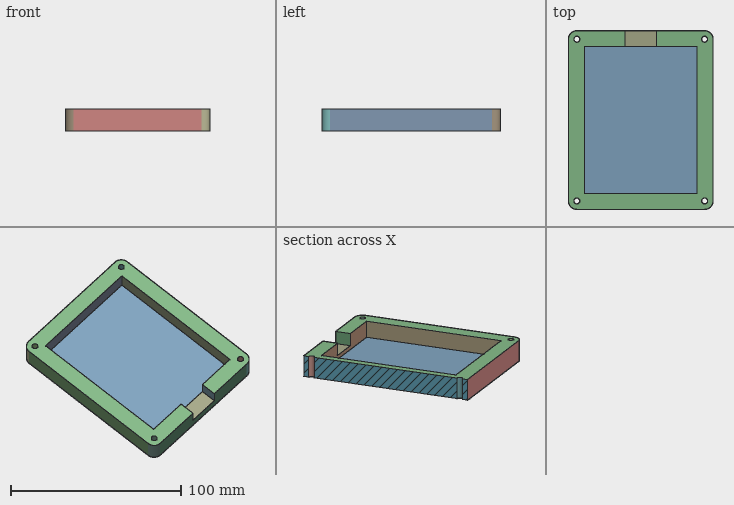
import cadquery as cq

width = 85.0
length = 105.0
height = 13.0
corner_radius = 5.0

wall = 9.5
floor_thickness = 3.0
pocket_width = width - 2 * wall
pocket_length = length - 2 * wall

notch_width = 18.5
notch_floor = 5.5

hole_diameter = 3.4
hole_spacing_x = width - 2 * corner_radius
hole_spacing_y = length - 2 * corner_radius


def make_block():
    """Plate with rounded vertical edges, resting on Z = 0."""
    block = cq.Workplane("XY").box(width, length, height, centered=(True, True, False))
    return block.edges("|Z").fillet(corner_radius)


def make_pocket():
    """Volume removed above the floor."""
    depth = height - floor_thickness
    pocket = cq.Workplane("XY").workplane(offset=floor_thickness)
    return pocket.rect(pocket_width, pocket_length).extrude(depth)


def make_notch():
    """Volume removed from the +Y wall, from the pocket to the outside."""
    notch_center_y = (length - wall) / 2
    notch = cq.Workplane("XY").workplane(offset=notch_floor).center(0, notch_center_y)
    return notch.rect(notch_width, wall).extrude(height - notch_floor)


def make_screw_holes():
    """Four through holes, one in each corner."""
    holes = cq.Workplane("XY").rect(hole_spacing_x, hole_spacing_y, forConstruction=True).vertices()
    return holes.circle(hole_diameter / 2).extrude(height)


result = make_block().cut(make_pocket()).cut(make_notch()).cut(make_screw_holes())